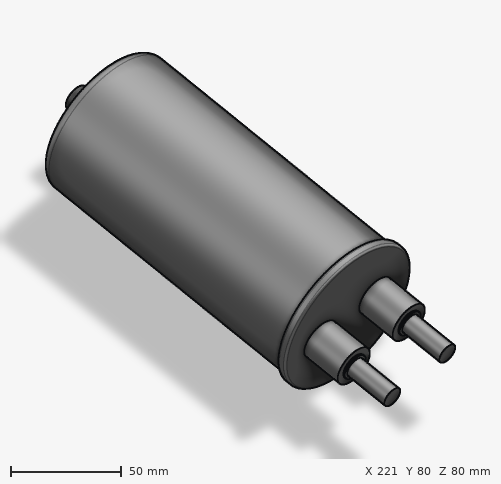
import cadquery as cq

overall_length = 221.0
stud_length = 16.1
can_length = 158.7
rim_width = 4.9
sleeve_length = 21.5
collar_length = 0.9

can_diameter = 75.5
rim_diameter = 80.0
stud_diameter = 12.8
sleeve_diameter = 20.5
collar_diameter = 13.3
pin_diameter = 10.2

can_end_radius = 4.6
rim_edge_radius = 1.0
terminal_spacing = 35.0

stud_start = -overall_length / 2
can_start = stud_start + stud_length
rim_end = can_start + can_length
rim_start = rim_end - rim_width
sleeve_end = rim_end + sleeve_length
collar_end = sleeve_end + collar_length
pin_end = overall_length / 2


def rod(diameter, start, end, y=0.0):
    """Solid cylinder parallel to X between two stations, offset sideways by y."""
    return (
        cq.Workplane("YZ", origin=(start, y, 0))
        .circle(diameter / 2)
        .extrude(end - start)
    )


def can():
    """Cylindrical can with its closed end rounded over."""
    return rod(can_diameter, can_start, rim_end).faces("<X").edges().fillet(can_end_radius)


def rim():
    """Crimped rim with both outer edges rounded."""
    return rod(rim_diameter, rim_start, rim_end).edges("%CIRCLE").fillet(rim_edge_radius)


def terminal(y):
    """Insulating sleeve, thin collar and contact pin on one axis."""
    sleeve = rod(sleeve_diameter, rim_end, sleeve_end, y)
    collar = rod(collar_diameter, sleeve_end, collar_end, y)
    pin = rod(pin_diameter, collar_end, pin_end, y)
    return sleeve.union(collar).union(pin)


mounting_stud = rod(stud_diameter, stud_start, can_start)
result = can().union(rim()).union(mounting_stud)
for side in (-1, 1):
    result = result.union(terminal(side * terminal_spacing / 2))